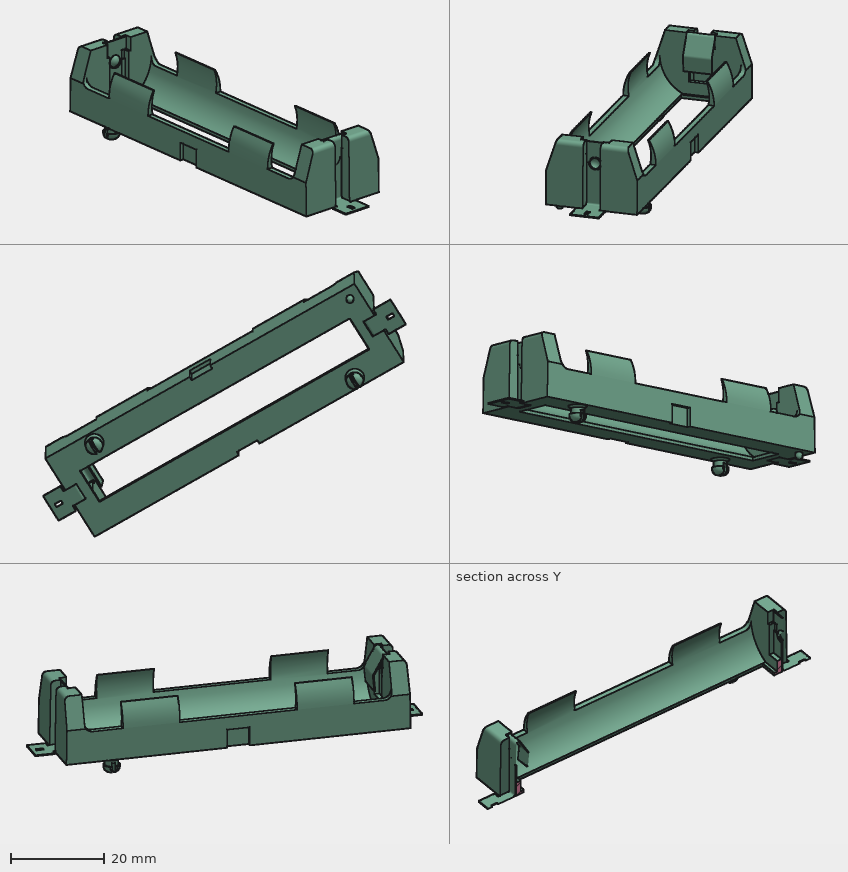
import cadquery as cq
import math

length = 77.1
width = 20.6
height = 14.8
inner_length = 68.8
rail_height = 7.0
end_draft = 0.3
end_round = 1.0
rail_fillet = 1.7
slope_start = 7.8
top_width = 16.0

bed_radius = 9.2
bed_axis_height = 9.0
floor_thickness = 0.8
window_length = 67.2
window_width = 8.15

clip_length = 12.7
clip_offset = 19.5
clip_top = 12.5
clip_tip_y = 8.75

notch_width = 5.1
notch_height = 4.2
notch_depth = 0.9

peg_x = 27.7
peg_y = 8.0
collar_diameter = 4.1
collar_height = 0.5
stem_diameter = 2.95
head_diameter = 3.6
head_start = 1.8
head_edge_end = 2.0
peg_depth = 3.5
peg_tip_diameter = 1.2
head_flats = 3.3
peg_slot_width = 0.7
peg_slot_start = 1.0
pin_x = 36.0
pin_diameter = 1.6
pin_depth = 1.6

overall_length = 86.6
sheet = 0.3
bend_radius = 0.7
foot_radius = 0.5
plate_outer_x = 36.0
contact_width = 6.5
neck_width = 3.9
neck_start_x = 39.0
shoulder_height = 11.7
plate_top = 14.55
tab_hole_x = 41.3
tab_hole_length = 1.6
tab_hole_width = 0.8
dimple_height = 9.7
dimple_diameter = 2.95
dimple_rise = 1.2
knee_x = 32.3
knee_height = 10.1
leaf_lean = 30.0
leaf_tip_x = 32.7
leaf_tip_height = 6.6

recess_width = 5.4
recess_floor = 3.6
backing = 0.3
backing_notch_diameter = 3.1

half_width = width / 2
inner_x = inner_length / 2
plate_inner_x = plate_outer_x - sheet
plate_middle_x = plate_outer_x - sheet / 2


def box_between(x0, x1, y_width, z0, z1):
    """Box from x0 to x1 and z0 to z1, centred on Y = 0."""
    return cq.Workplane("XY").box(x1 - x0, y_width, z1 - z0, centered=False).translate((x0, -y_width / 2, z0))


def both_ends(shape):
    """The shape at the +X end together with its mirror image at the -X end."""
    return shape.union(shape.mirror("YZ"))


def make_blank():
    """Low side walls between two tall end walls, with drafted and narrowed ends."""
    half_base = length / 2
    half_top = half_base - end_draft
    blank = (
        cq.Workplane("XZ")
        .moveTo(-half_base, 0)
        .lineTo(half_base, 0)
        .lineTo(half_top, height)
        .lineTo(inner_x, height)
        .lineTo(inner_x, rail_height)
        .lineTo(-inner_x, rail_height)
        .lineTo(-inner_x, height)
        .lineTo(-half_top, height)
        .close()
        .extrude(half_width, both=True)
    )
    for side in (-1, 1):
        top_edge = cq.NearestToPointSelector((side * half_top, 0, height))
        blank = blank.edges(top_edge).fillet(end_round)
        rail_edge = cq.NearestToPointSelector((side * inner_x, 0, rail_height))
        blank = blank.edges(rail_edge).fillet(rail_fillet)
    end_outline = (
        cq.Workplane("YZ")
        .moveTo(-half_width, 0)
        .lineTo(half_width, 0)
        .lineTo(half_width, slope_start)
        .lineTo(top_width / 2, height)
        .lineTo(-top_width / 2, height)
        .lineTo(-half_width, slope_start)
        .close()
        .extrude(length / 2, both=True)
    )
    return blank.intersect(end_outline)


def make_bed():
    """Space for the cell: a cylinder with a flat floor, and the window through that floor."""
    cylinder = (
        cq.Workplane("YZ")
        .center(0, bed_axis_height)
        .circle(bed_radius)
        .extrude(inner_x, both=True)
    )
    above_floor = box_between(-inner_x, inner_x, width, floor_thickness, bed_axis_height + bed_radius)
    window = box_between(-window_length / 2, window_length / 2, window_width, 0, bed_axis_height)
    return cylinder.intersect(above_floor).union(window)


def bed_half_width(z):
    """Half width of the cell cylinder at height z."""
    return math.sqrt(bed_radius**2 - (z - bed_axis_height) ** 2)


def make_clip(x):
    """Thin curved clip on the +Y side wall, following the cell on its inside.

    Its outer arc leaves the side wall upright and leans in to the tip.
    """
    rise = clip_top - rail_height
    lean = half_width - clip_tip_y
    outer_radius = (rise**2 + lean**2) / (2 * lean)
    middle_rise = rise / 2
    middle_y = half_width - outer_radius + math.sqrt(outer_radius**2 - middle_rise**2)
    return (
        cq.Workplane("YZ", origin=(x - clip_length / 2, 0, 0))
        .moveTo(bed_half_width(rail_height), rail_height)
        .lineTo(half_width, rail_height)
        .threePointArc((middle_y, rail_height + middle_rise), (clip_tip_y, clip_top))
        .lineTo(bed_half_width(clip_top), clip_top)
        .threePointArc((bed_radius, bed_axis_height), (bed_half_width(rail_height), rail_height))
        .close()
        .extrude(clip_length)
    )


def make_notch():
    """Shallow notch at the foot of the +Y side wall."""
    return box_between(-notch_width / 2, notch_width / 2, notch_depth, 0, notch_height).translate(
        (0, half_width - notch_depth / 2, 0)
    )


def make_contact_recess():
    """Outer channel, inner recess with its backing wall, and upper pocket at the +X end."""
    channel = box_between(plate_inner_x, length / 2, neck_width, 0, height)
    recess = box_between(inner_x, plate_inner_x, recess_width, recess_floor, shoulder_height)
    pocket = box_between(inner_x, plate_outer_x, contact_width, shoulder_height, height)
    backing_x = plate_inner_x - backing
    backing_wall = box_between(backing_x, plate_inner_x, recess_width, recess_floor, dimple_height)
    dimple_notch = (
        cq.Workplane("YZ", origin=(plate_inner_x, 0, dimple_height))
        .circle(backing_notch_diameter / 2)
        .extrude(-backing)
    )
    recess = recess.cut(backing_wall).union(dimple_notch)
    return channel.union(recess).union(pocket)


def make_peg(x, y):
    """Split snap peg: collar, stem and a domed head with two flats."""
    stem_radius = stem_diameter / 2
    head_radius = head_diameter / 2
    tip_radius = peg_tip_diameter / 2
    dome_middle = (
        tip_radius + (head_radius - tip_radius) * math.sin(math.pi / 4),
        -head_edge_end - (peg_depth - head_edge_end) * math.sin(math.pi / 4),
    )
    peg = (
        cq.Workplane("XZ")
        .moveTo(0, 0)
        .lineTo(collar_diameter / 2, 0)
        .lineTo(stem_radius, -collar_height)
        .lineTo(stem_radius, -head_start)
        .lineTo(head_radius, -head_start)
        .lineTo(head_radius, -head_edge_end)
        .threePointArc(dome_middle, (tip_radius, -peg_depth))
        .lineTo(0, -peg_depth)
        .close()
        .revolve(360, (0, 0, 0), (0, 1, 0))
    )
    head_zone = box_between(-head_diameter, head_diameter, 2 * head_diameter, -peg_depth, -head_start)
    kept_head = box_between(-head_diameter, head_diameter, head_flats, -peg_depth, -head_start)
    slot = box_between(-peg_slot_width / 2, peg_slot_width / 2, head_diameter, -peg_depth, -peg_slot_start)
    return peg.cut(head_zone.cut(kept_head)).cut(slot).translate((x, y, 0))


def make_pin():
    """Round-ended locating pin."""
    radius = pin_diameter / 2
    straight = pin_depth - radius
    pin = cq.Workplane("XY").circle(radius).extrude(-straight)
    tip = cq.Workplane("XY").sphere(radius).translate((0, 0, -straight))
    return pin.union(tip).translate((-pin_x, peg_y, 0))


def make_housing():
    """Battery tray with its clips, notches, contact recesses, pegs and pin."""
    housing = make_blank().cut(make_bed())
    for x in (-clip_offset, clip_offset):
        clip = make_clip(x)
        housing = housing.union(clip).union(clip.mirror("XZ"))
    notch = make_notch()
    housing = housing.cut(notch).cut(notch.mirror("XZ"))
    housing = housing.cut(both_ends(make_contact_recess()))
    for side in (-1, 1):
        housing = housing.union(make_peg(side * peg_x, side * peg_y))
    return housing.union(make_pin())


def make_bent_sheet(path_points):
    """Full-width sheet along rounded (x, z) points, starting with the solder tab at the +X end."""
    corners = [cq.Vector(x, 0, z) for x, z in path_points]
    path = cq.Wire.makePolygon(corners)
    path = path.fillet(foot_radius, [path.Vertices()[1]])
    upper_corners = path.Vertices()[3:-1]
    if upper_corners:
        path = path.fillet(bend_radius, upper_corners)
    start_x, start_z = path_points[0]
    section = cq.Workplane("YZ", origin=(start_x, 0, start_z)).rect(contact_width, sheet)
    strip = section.sweep(cq.Workplane(path))

    neck_zone = box_between(plate_inner_x - sheet, neck_start_x, contact_width, 0, shoulder_height)
    neck = box_between(plate_inner_x - sheet, neck_start_x, neck_width, 0, shoulder_height)
    tab_hole = box_between(
        tab_hole_x - tab_hole_length / 2, tab_hole_x + tab_hole_length / 2, tab_hole_width, 0, sheet
    )
    return strip.cut(neck_zone.cut(neck)).cut(tab_hole)


def tab_and_plate(top):
    """Path of the solder tab and of the upright plate up to the given height."""
    tab_z = sheet / 2
    return [(overall_length / 2, tab_z), (plate_middle_x, tab_z), (plate_middle_x, top)]


def make_button_contact():
    """Fixed contact at the -X end, with a hollow dimple pressed towards the cell."""
    radius = dimple_diameter / 2
    centre = (plate_outer_x + radius - dimple_rise, 0, dimple_height)
    dome = cq.Workplane("XY").sphere(radius).translate(centre)
    dome = dome.intersect(box_between(inner_x, plate_outer_x, contact_width, 0, height))
    hollow = cq.Workplane("XY").sphere(radius - sheet).translate(centre)
    contact = make_bent_sheet(tab_and_plate(plate_top)).union(dome).cut(hollow)
    return contact.mirror("YZ")


def make_spring_contact():
    """Contact at the +X end, hooked over at the top into a bent spring leaf."""
    hook_corner = knee_height + (plate_middle_x - knee_x) / math.tan(math.radians(leaf_lean))
    leaf = [(knee_x, knee_height), (leaf_tip_x, leaf_tip_height)]
    return make_bent_sheet(tab_and_plate(hook_corner) + leaf)


housing = make_housing()
button_contact = make_button_contact()
spring_contact = make_spring_contact()

result = cq.Compound.makeCompound([
    housing.solids().val(),
    button_contact.solids().val(),
    spring_contact.solids().val(),
])